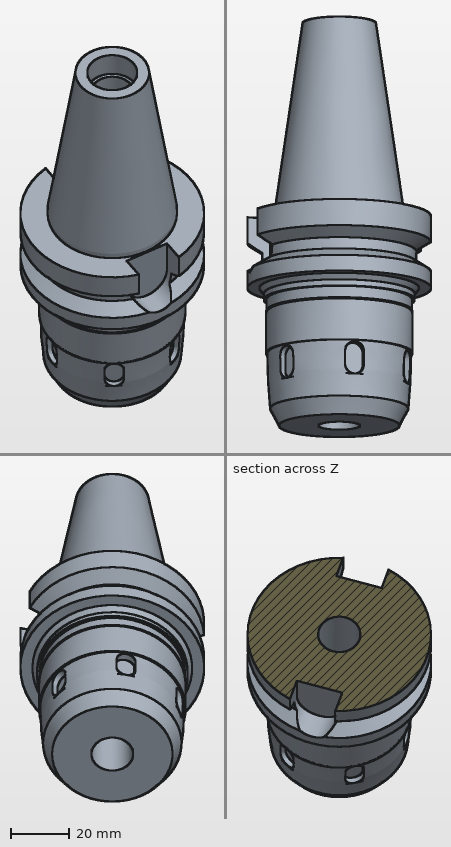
import cadquery as cq

total_height = 140.4

gauge_height = 75.0
gauge_radius = 22.2
taper_slope = 7 / 48
shank_top_radius = gauge_radius - taper_slope * (total_height - gauge_height)

flange_radius = 31.52
flange_top = 73.0
upper_rim_bottom = 63.9
groove_top = 60.7
groove_bottom = 56.7
lower_rim_top = 53.5
flange_bottom = 48.0
groove_radius = 26.5

neck_flare_radius = 27.4
neck_radius = 25.8
neck_step_radius = 25.0
neck_flare_bottom = 46.0
neck_bottom = 44.0
nut_radius = 25.1
nut_top = 40.0
seam_width = 0.4
seam_depth = 0.21
band_top = 25.3
band_top_radius = 24.7
band_bottom = 15.2
band_bottom_radius = 24.4
nose_top = 13.6
nose_top_radius = 24.3
nose_bevel_height = 5.9
nose_bevel_radius = 23.7
nose_face_radius = 20.6

keyway_width = 16.1
keyway_floor = 22.6
keyway_bottom = 52.2

slot_count = 6
slot_start_angle = 30
slot_width = 6.6
slot_bottom = 13.6
slot_top = 24.7
slot_floor = 22.0

bore_radius = 7.2
counterbore_radius = 8.5
counterbore_depth = 9.0


def make_body():
    """Revolve the outer half profile about Z."""
    profile = [
        (0, 0),
        (nose_face_radius, 0),
        (nose_bevel_radius, nose_bevel_height),
        (nose_top_radius, nose_top),
        (band_bottom_radius, band_bottom),
        (band_top_radius, band_top),
        (nut_radius, band_top),
        (nut_radius, nut_top - seam_width),
        (nut_radius - seam_depth, nut_top - seam_width),
        (nut_radius - seam_depth, nut_top),
        (neck_step_radius, nut_top),
        (neck_step_radius, neck_bottom),
        (neck_radius, neck_bottom),
        (neck_radius, neck_flare_bottom),
        (neck_flare_radius, flange_bottom),
        (flange_radius, flange_bottom),
        (flange_radius, lower_rim_top),
        (groove_radius, groove_bottom),
        (groove_radius, groove_top),
        (flange_radius, upper_rim_bottom),
        (flange_radius, flange_top),
        (gauge_radius, flange_top),
        (gauge_radius, gauge_height),
        (shank_top_radius, total_height),
        (0, total_height),
    ]
    outline = cq.Workplane("XZ").polyline(profile).close()
    return outline.revolve(360, (0, 0, 0), (0, 1, 0))


def make_keyway():
    """Round-bottomed cutter running outward along +X, open at the flange top."""
    half_width = keyway_width / 2
    arc_center = keyway_bottom + half_width
    return (
        cq.Workplane("YZ", origin=(keyway_floor, 0, 0))
        .moveTo(-half_width, flange_top)
        .lineTo(-half_width, arc_center)
        .threePointArc((0, keyway_bottom), (half_width, arc_center))
        .lineTo(half_width, flange_top)
        .close()
        .extrude(flange_radius)
    )


def make_spanner_slot():
    """Upright flat-floored slot cutter running outward along +X."""
    slot_center = (slot_bottom + slot_top) / 2
    return (
        cq.Workplane("YZ", origin=(slot_floor, 0, slot_center))
        .slot2D(slot_top - slot_bottom, slot_width, 90)
        .extrude(nut_radius)
    )


def make_bore():
    """Through bore with a counterbore at the shank end."""
    through = cq.Workplane("XY").circle(bore_radius).extrude(total_height)
    counterbore = (
        cq.Workplane("XY", origin=(0, 0, total_height))
        .circle(counterbore_radius)
        .extrude(-counterbore_depth)
    )
    return through.union(counterbore)


def turned(cutter, angle):
    """Turn a cutter about the tool axis."""
    return cutter.rotate((0, 0, 0), (0, 0, 1), angle)


result = make_body().cut(make_bore())

for angle in (0, 180):
    result = result.cut(turned(make_keyway(), angle))

for index in range(slot_count):
    angle = slot_start_angle + index * 360 / slot_count
    result = result.cut(turned(make_spanner_slot(), angle))